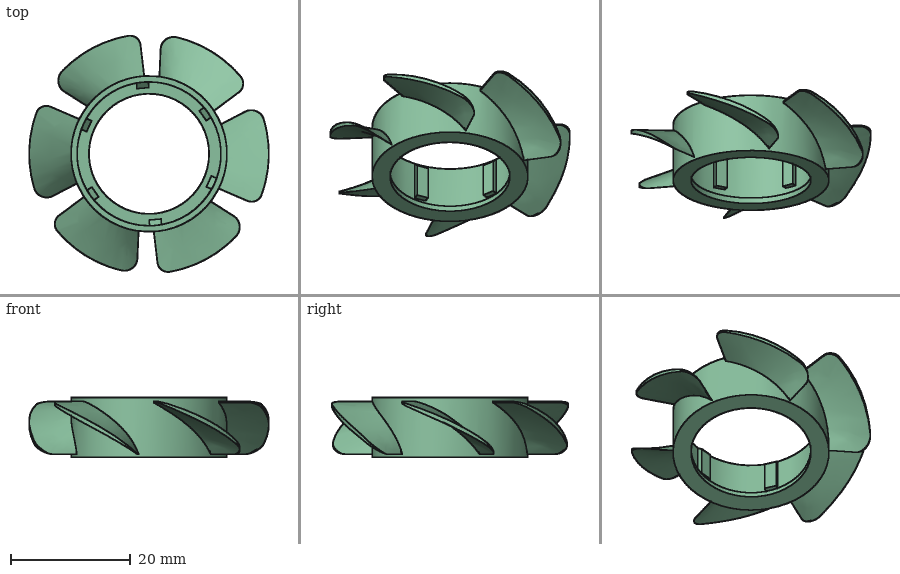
import cadquery as cq
import math

HUB_HEIGHT = 10.0
HUB_RADIUS = 13.0
BORE_RADIUS = 12.0
LIP_RADIUS = 10.0
LIP_THICKNESS = 1.0

COUNT = 6
PITCH = 360.0 / COUNT

RIB_WIDTH = 2.0
RIB_DEPTH = 1.0
RIB_BOTTOM = 3.0
RIB_TOP = HUB_HEIGHT
RIB_ANGLE = 35.3

WALL_MIDDLE = (HUB_RADIUS + BORE_RADIUS) / 2

TIP_RADIUS = 20.0
BLADE_BOTTOM = 0.5
BLADE_TOP = 9.33
LEADING_THICKNESS = 0.2
ROOT_STATION = 11.0
TIP_STATION = 21.0
REFERENCE_STATION = 13.0
LEADING_REACH, LEADING_SLOPE = 6.4, 0.43
TRAILING_REACH, TRAILING_SLOPE = 5.47, 0.52
UPPER_CAMBER, UPPER_CAMBER_SLOPE = 1.70, -0.08
LOWER_CAMBER, LOWER_CAMBER_SLOPE = 0.60, -0.033
LEADING_ROUND = 1.8
TRAILING_ROUND = 2.2


def at_station(value, slope, station):
    """Value of a linearly varying blade dimension at a distance from the axis."""
    return value + slope * (station - REFERENCE_STATION)


def blade_edges(station):
    """Tangential positions of the low trailing end and the high leading end."""
    trailing = at_station(TRAILING_REACH, TRAILING_SLOPE, station)
    leading = -at_station(LEADING_REACH, LEADING_SLOPE, station)
    return trailing, leading


def blade_section(station):
    """Lens between two arcs with a slightly blunt leading end, on the plane X = station."""
    trailing, leading = blade_edges(station)
    width = trailing - leading
    height = BLADE_TOP - BLADE_BOTTOM
    chord = math.hypot(width, height)
    mid_y = (leading + trailing) / 2
    mid_z = (BLADE_TOP + BLADE_BOTTOM) / 2

    def crown(camber):
        return cq.Vector(station, mid_y + camber * height / chord, mid_z + camber * width / chord)

    low_end = cq.Vector(station, trailing, BLADE_BOTTOM)
    high_end = cq.Vector(station, leading, BLADE_TOP)
    blunt_end = high_end - cq.Vector(0, 0, LEADING_THICKNESS)
    upper_crown = crown(at_station(UPPER_CAMBER, UPPER_CAMBER_SLOPE, station))
    lower_crown = crown(at_station(LOWER_CAMBER, LOWER_CAMBER_SLOPE, station))
    upper = cq.Edge.makeThreePointArc(low_end, upper_crown, high_end)
    leading_end = cq.Edge.makeLine(high_end, blunt_end)
    lower = cq.Edge.makeThreePointArc(blunt_end, lower_crown, low_end)
    return cq.Wire.assembleEdges([upper, leading_end, lower])


def blade_planform():
    """Tall prism with the blade outline: straight ends, round tip and rounded tip corners."""
    root_trailing, root_leading = blade_edges(ROOT_STATION)
    tip_trailing, tip_leading = blade_edges(TIP_STATION)
    outline = (
        cq.Workplane("XY")
        .polyline([
            (ROOT_STATION, root_trailing),
            (TIP_STATION, tip_trailing),
            (TIP_STATION, tip_leading),
            (ROOT_STATION, root_leading),
        ])
        .close()
        .extrude(HUB_HEIGHT)
    )
    prism = outline.intersect(cq.Workplane("XY").circle(TIP_RADIUS).extrude(HUB_HEIGHT))
    prism = prism.edges("|Z and >Y").fillet(TRAILING_ROUND)
    return prism.edges("|Z and <Y").fillet(LEADING_ROUND)


def make_blade():
    """Twisted blade on the +X side, trimmed to its outline and to the hub wall."""
    sections = [blade_section(ROOT_STATION), blade_section(TIP_STATION)]
    loft = cq.Workplane(cq.Solid.makeLoft(sections, True))
    core = cq.Workplane("XY").circle(WALL_MIDDLE).extrude(HUB_HEIGHT)
    return loft.intersect(blade_planform()).cut(core)


def make_hub():
    """Open ring with an inward lip at the bottom."""
    hub = cq.Workplane("XY").circle(HUB_RADIUS).extrude(HUB_HEIGHT)
    bore = cq.Workplane("XY").workplane(offset=LIP_THICKNESS).circle(BORE_RADIUS).extrude(HUB_HEIGHT)
    opening = cq.Workplane("XY").circle(LIP_RADIUS).extrude(HUB_HEIGHT)
    return hub.cut(bore).cut(opening)


def make_rib():
    """Upright rib whose top slopes down at 45 degrees away from the wall."""
    face = BORE_RADIUS - RIB_DEPTH
    return (
        cq.Workplane("XZ")
        .polyline([
            (face, RIB_BOTTOM),
            (WALL_MIDDLE, RIB_BOTTOM),
            (WALL_MIDDLE, RIB_TOP),
            (BORE_RADIUS, RIB_TOP),
            (face, RIB_TOP - RIB_DEPTH),
        ])
        .close()
        .extrude(RIB_WIDTH / 2, both=True)
    )


result = make_hub()
blade = make_blade()
rib = make_rib()
for index in range(COUNT):
    turn = index * PITCH
    result = result.union(blade.rotate((0, 0, 0), (0, 0, 1), turn))
    result = result.union(rib.rotate((0, 0, 0), (0, 0, 1), turn + RIB_ANGLE))